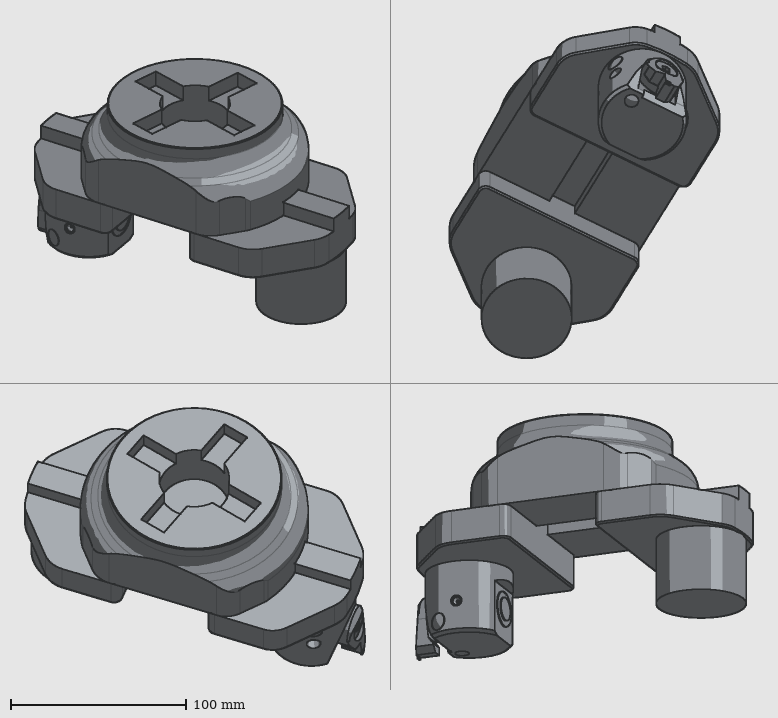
import cadquery as cq
import math


overall_length = 202.21
overall_height = 117.0
half_width = 52.0
corner_radius = 16.0
slide_end_corner_radius = 18.0
corner_angle = 40.0

adapter_radius = 65.0
adapter_corner_distance = 64.15
adapter_height = 50.0
head_radius = 50.0
head_rim_start = 43.2
head_edge_chamfer = 0.6
neck_angle = 55.0
neck_fillet = 12.0
shoulder_fillet = 14.0
bore_radius = 20.0
bore_depth = 28.5
drive_slot_width = 16.0
drive_slot_reach = 41.0
drive_slot_depth = 9.3
drive_slot_count = 4
drive_slot_angle = -15.0

slide_end_radius = 98.5
slide_corner_distance = 86.0
slide_inner_x = 26.4
slide_inner_corner_radius = 5.0
slide_bottom_chamfer = 1.0
key_width = 16.6
key_height = 8.5
keyway_height = 9.0
left_slide_thickness = 20.0
right_slide_thickness = 19.3

weight_radius = 25.75
weight_x = 72.5
weight_y = -2.2
weight_bottom = -57.5

boring_radius = 25.15
boring_x = -72.2
boring_y = 2.1
boring_left_x = boring_x - boring_radius
boring_right_x = boring_x + boring_radius
boring_front_y = boring_y - boring_radius
boring_back_y = boring_y + boring_radius
boring_bottom = -62.6
boring_chamfer = 1.9
spindle_z = -43.75
slant_angle = 15.0
slant_top = -28.8
relief_top = -56.2
relief_angle = 30.0
relief_edge_y = 10.1
dial_flat_x = -51.0
dial_flat_top = -30.6
dial_runout_rise = 2.6
lock_hole_x = -70.05
lock_hole_radius = 3.125
lock_cup_radius = 2.35
lock_socket_radius = 0.75
lock_hole_depth = 1.0
lock_cup_depth = 2.5
lock_socket_depth = 4.0
plug_angle = 67.0
plug_radius = 5.01
plug_bulge = 1.0
plug_sink = 2.5
front_plug_z = -54.4
back_plug_z = -26.9
coolant_hole_radius = 4.0
coolant_hole_z = -39.3
coolant_hole_depth = 6.0
bottom_plug_x = -81.6
bottom_plug_y = 14.3
bottom_plug_radius = 4.0
bottom_plug_bulge = 1.0

holder_radius = 12.0
holder_min_y = boring_y - holder_radius
holder_max_y = boring_y + holder_radius
holder_seat_x = -89.1
holder_rim_x = -98.1
holder_face_top_x = -101.4
holder_face_top_z = -35.4
holder_face_tilt = 3.8
holder_face_radius = 24.0
arm_back_x = -93.9
arm_side_angle = 16.0
arm_edge_y = 4.0
shoulder_bottom = -55.5
shoulder_bottom_y = 9.6
shoulder_top = -49.3
shoulder_top_y = 12.9
arm_bottom = -65.9
arm_toe_y = -1.8
arm_heel_z = -62.0
jaw_back_x = -91.3
jaw_top_z = -57.8
jaw_full_z = -61.3
tip_z = adapter_height - overall_height
tip_x = slide_end_radius - overall_length
tip_top_z = -64.9
tip_length = 1.0
tip_width = 3.0

screw_head_radius = 6.8
screw_face_x = -100.5
countersink_angle = 45.0
screw_head_height = 6.0
screw_shank_radius = 4.0
screw_end_x = -77.0
socket_sides = 6
screw_socket_flats = 4.75
screw_socket_depth = 3.0

dial_radius = 10.25
dial_thickness = 0.6
dial_boss_radius = 6.8
dial_boss_height = 0.7


def sin(degrees):
    return math.sin(math.radians(degrees))


def cos(degrees):
    return math.cos(math.radians(degrees))


def tan(degrees):
    return math.tan(math.radians(degrees))


def oblong_prism(end_radius, corner_distance, end_corner_radius, bottom, top):
    """Prism with flat sides, round ends about the Z axis and four blended corner flats."""
    flat_x = (corner_distance - half_width * sin(corner_angle)) / cos(corner_angle)
    meet_angle = corner_angle - math.degrees(math.acos(corner_distance / end_radius))
    meet_x = end_radius * cos(meet_angle)
    meet_y = end_radius * sin(meet_angle)
    prism = (
        cq.Workplane("XY", origin=(0, 0, bottom))
        .moveTo(-flat_x, -half_width)
        .lineTo(flat_x, -half_width)
        .lineTo(meet_x, -meet_y)
        .threePointArc((end_radius, 0), (meet_x, meet_y))
        .lineTo(flat_x, half_width)
        .lineTo(-flat_x, half_width)
        .lineTo(-meet_x, meet_y)
        .threePointArc((-end_radius, 0), (-meet_x, -meet_y))
        .close()
        .extrude(top - bottom)
    )
    side_edges = prism.faces("<Y or >Y").edges("|Z")
    prism = side_edges.fillet(corner_radius)
    end_edges = prism.faces("<X or >X").edges("|Z")
    return end_edges.fillet(end_corner_radius)


def box(x_min, x_max, y_min, y_max, z_min, z_max):
    size = (x_max - x_min, y_max - y_min, z_max - z_min)
    return cq.Workplane("XY").box(*size, centered=False).translate((x_min, y_min, z_min))


def x_cylinder(radius, x_min, x_max):
    """Cylinder about the spindle axis, which runs along X through the boring head."""
    plane = cq.Workplane("YZ", origin=(x_min, boring_y, spindle_z))
    return plane.circle(radius).extrude(x_max - x_min)


def xz_prism(points, y_min, y_max):
    plane = cq.Workplane("XZ", origin=(0, y_max, 0))
    return plane.polyline(points).close().extrude(y_max - y_min)


def turned_adapter():
    """Turned body: rim, concave neck, conical shoulder and convex shoulder fillet."""
    neck_r = head_radius + neck_fillet * (1 - cos(neck_angle))
    neck_z = head_rim_start - neck_fillet * sin(neck_angle)
    neck_mid_r = head_radius + neck_fillet * (1 - cos(neck_angle / 2))
    neck_mid_z = head_rim_start - neck_fillet * sin(neck_angle / 2)
    cone_r = adapter_radius - shoulder_fillet * (1 - cos(neck_angle))
    cone_z = neck_z - (cone_r - neck_r) / tan(neck_angle)
    side_z = cone_z - shoulder_fillet * sin(neck_angle)
    side_mid_r = adapter_radius - shoulder_fillet * (1 - cos(neck_angle / 2))
    side_mid_z = side_z + shoulder_fillet * sin(neck_angle / 2)
    return (
        cq.Workplane("XZ")
        .lineTo(adapter_radius, 0)
        .lineTo(adapter_radius, side_z)
        .threePointArc((side_mid_r, side_mid_z), (cone_r, cone_z))
        .lineTo(neck_r, neck_z)
        .threePointArc((neck_mid_r, neck_mid_z), (head_radius, head_rim_start))
        .lineTo(head_radius, adapter_height - head_edge_chamfer)
        .lineTo(head_radius - head_edge_chamfer, adapter_height)
        .lineTo(0, adapter_height)
        .close()
        .revolve(360, (0, 0, 0), (0, 1, 0))
    )


def make_adapter():
    outline = oblong_prism(adapter_radius, adapter_corner_distance, corner_radius, 0, adapter_height)
    adapter = turned_adapter().intersect(outline)
    bore = cq.Workplane("XY", origin=(0, 0, adapter_height)).circle(bore_radius).extrude(-bore_depth)
    adapter = adapter.cut(bore)
    half_slot = drive_slot_width / 2
    slot_floor = adapter_height - drive_slot_depth
    drive_slot = box(0, drive_slot_reach, -half_slot, half_slot, slot_floor, adapter_height)
    for index in range(drive_slot_count):
        angle = drive_slot_angle + index * 360 / drive_slot_count
        adapter = adapter.cut(drive_slot.rotate((0, 0, 0), (0, 0, 1), angle))
    half_key = key_width / 2
    keyway = box(-adapter_radius, adapter_radius, -half_key, half_key, 0, keyway_height)
    return adapter.cut(keyway)


def make_slide(side, thickness):
    """Slide plate with its key; side is -1 for the left slide and +1 for the right one."""
    inner_x = side * slide_inner_x
    outer_x = side * slide_end_radius
    x_min = min(inner_x, outer_x)
    x_max = max(inner_x, outer_x)
    outline = oblong_prism(
        slide_end_radius, slide_corner_distance, slide_end_corner_radius, -thickness, key_height
    )
    plate = outline.intersect(box(x_min, x_max, -half_width, half_width, -thickness, 0))
    inner_edges = plate.faces("<X" if side > 0 else ">X").edges("|Z")
    plate = inner_edges.fillet(slide_inner_corner_radius)
    plate = plate.faces("<Z").chamfer(slide_bottom_chamfer)
    half_key = key_width / 2
    key = outline.intersect(box(x_min, x_max, -half_key, half_key, 0, key_height))
    return plate.union(key)


def make_right_slide():
    slide = make_slide(1, right_slide_thickness)
    plane = cq.Workplane("XY", origin=(weight_x, weight_y, weight_bottom))
    weight = plane.circle(weight_radius).extrude(-right_slide_thickness - weight_bottom)
    return slide.union(weight)


def radial_plane(side, z):
    """Workplane on the head's surface facing outward at the plug angle; side is -1 or +1 in Y."""
    direction = (-cos(plug_angle), side * sin(plug_angle), 0)
    origin = (
        boring_x + boring_radius * direction[0],
        boring_y + boring_radius * direction[1],
        z,
    )
    return cq.Workplane(cq.Plane(origin=origin, xDir=(0, 0, 1), normal=direction))


def domed_plug(plane, radius, bulge):
    """Short plug sunk below the plane and ending in a shallow spherical dome above it."""
    sphere_radius = (radius**2 + bulge**2) / (2 * bulge)
    sphere = plane.workplane(offset=bulge - sphere_radius).sphere(sphere_radius)
    blank = plane.workplane(offset=-plug_sink).circle(radius).extrude(plug_sink + bulge)
    return blank.intersect(sphere)


def slanted_cut():
    """Removes the -X side of the head along the slanted face."""
    slant_bottom_x = boring_left_x + (slant_top - boring_bottom) * tan(slant_angle)
    points = [(boring_left_x, slant_top), (slant_bottom_x, boring_bottom), (boring_left_x, boring_bottom)]
    return xz_prism(points, boring_front_y, boring_back_y)


def relief_cut():
    """Steeper relief below the slanted face that clears the insert."""
    relief_x = boring_left_x + (slant_top - relief_top) * tan(slant_angle)
    bottom_x = relief_x + (relief_top - boring_bottom) * tan(relief_angle)
    points = [
        (boring_left_x, relief_top),
        (relief_x, relief_top),
        (bottom_x, boring_bottom),
        (boring_left_x, boring_bottom),
    ]
    return xz_prism(points, boring_front_y, relief_edge_y)


def holder_pocket():
    """Round-topped pocket, open at the bottom, that seats the insert holder."""
    round_top = x_cylinder(holder_radius, boring_left_x, holder_seat_x)
    slot = box(boring_left_x, holder_seat_x, holder_min_y, holder_max_y, boring_bottom, spindle_z)
    return round_top.union(slot)


def dial_flat_cut():
    """Flat on the +X side with a sloping run-out at its top."""
    points = [
        (dial_flat_x, boring_bottom),
        (dial_flat_x, dial_flat_top),
        (boring_right_x, dial_flat_top + dial_runout_rise),
        (boring_right_x, boring_bottom),
    ]
    return xz_prism(points, boring_front_y, boring_back_y)


def lock_hole():
    """Stepped hole from -Y with a conical cup and a small socket."""
    surface = math.sqrt(boring_radius**2 - (lock_hole_x - boring_x) ** 2)
    mouth = 1.0
    profile = [
        (0, -mouth),
        (lock_hole_radius, -mouth),
        (lock_hole_radius, lock_hole_depth),
        (lock_cup_radius, lock_hole_depth),
        (lock_socket_radius, lock_cup_depth),
        (lock_socket_radius, lock_socket_depth),
        (0, lock_socket_depth),
    ]
    cutter = cq.Workplane("XY").polyline(profile).close().revolve(360, (0, 0, 0), (0, 1, 0))
    return cutter.translate((lock_hole_x, boring_y - surface, spindle_z))


def make_boring_head():
    height = -left_slide_thickness - boring_bottom
    plane = cq.Workplane("XY", origin=(boring_x, boring_y, boring_bottom))
    head = plane.circle(boring_radius).extrude(height).faces("<Z").chamfer(boring_chamfer)
    head = head.cut(slanted_cut()).cut(relief_cut()).cut(holder_pocket()).cut(dial_flat_cut())
    head = head.cut(lock_hole())
    coolant_hole = radial_plane(1, coolant_hole_z).circle(coolant_hole_radius)
    head = head.cut(coolant_hole.extrude(-coolant_hole_depth))
    head = head.union(domed_plug(radial_plane(-1, front_plug_z), plug_radius, plug_bulge))
    head = head.union(domed_plug(radial_plane(1, back_plug_z), plug_radius, plug_bulge))
    bottom = cq.Workplane("XY", origin=(bottom_plug_x, bottom_plug_y, boring_bottom))
    bottom_plane = bottom.transformed(rotate=(180, 0, 0))
    head = head.union(domed_plug(bottom_plane, bottom_plug_radius, bottom_plug_bulge))
    return head.cut(x_cylinder(screw_shank_radius, holder_seat_x, screw_end_x))


def holder_disc():
    """Disc seated in the pocket, the upper half of its front rim bevelled at 45 degrees."""
    bevel = holder_rim_x - tip_x
    disc = x_cylinder(holder_radius, tip_x, holder_seat_x)
    disc_bottom = spindle_z - holder_radius
    lower_half = box(tip_x, holder_seat_x, holder_min_y, holder_max_y, disc_bottom, spindle_z)
    return disc.faces("<X").chamfer(bevel).union(disc.intersect(lower_half))


def holder_arm():
    """Tapering arm that hangs from the disc and carries the insert tip."""
    side_y = boring_y - holder_radius * cos(arm_side_angle)
    side_z = spindle_z - holder_radius * sin(arm_side_angle)
    heel_y = side_y + (side_z - arm_heel_z) * tan(arm_side_angle)
    outline = [
        (boring_y, spindle_z),
        (side_y, side_z),
        (heel_y, arm_heel_z),
        (arm_toe_y, arm_bottom),
        (arm_edge_y, arm_bottom),
        (arm_edge_y, spindle_z),
    ]
    arm = cq.Workplane("YZ", origin=(tip_x, 0, 0)).polyline(outline).close()
    arm = arm.extrude(jaw_back_x - tip_x)
    back = [
        (jaw_back_x, spindle_z),
        (arm_back_x, spindle_z),
        (arm_back_x, jaw_top_z),
        (jaw_back_x, jaw_full_z),
    ]
    return arm.cut(xz_prism(back, side_y, arm_edge_y))


def holder_shoulder():
    """Squared shoulder on the +Y side of the arm, under the disc."""
    outline = [
        (arm_edge_y, spindle_z),
        (shoulder_top_y, shoulder_top),
        (shoulder_bottom_y, shoulder_bottom),
        (arm_edge_y, shoulder_bottom),
    ]
    shoulder = cq.Workplane("YZ", origin=(tip_x, 0, 0)).polyline(outline).close()
    return shoulder.extrude(arm_back_x - tip_x)


def holder_face_body():
    """Large tilted cylinder whose -X flank is the curved front face of the holder."""
    axis = cq.Vector(-sin(holder_face_tilt), 0, -cos(holder_face_tilt))
    top = cq.Vector(holder_face_top_x, boring_y, holder_face_top_z)
    centre = top + cq.Vector(cos(holder_face_tilt), 0, -sin(holder_face_tilt)) * holder_face_radius
    reach = holder_face_top_z - tip_z
    start = centre - axis * reach
    face_span = 3 * reach
    plane = cq.Plane(origin=start.toTuple(), xDir=(0, 1, 0), normal=axis.toTuple())
    return cq.Workplane(plane).circle(holder_face_radius).extrude(face_span)


def make_holder():
    holder = holder_disc().union(holder_arm()).union(holder_shoulder())
    holder = holder.intersect(holder_face_body())
    tip_y = arm_edge_y - tip_width
    holder = holder.union(box(tip_x, tip_x + tip_length, tip_y, arm_edge_y, tip_z, tip_top_z))
    seat_x = screw_face_x + screw_head_height
    countersink_depth = screw_face_x - tip_x
    countersink = cq.Workplane("YZ", origin=(screw_face_x, boring_y, spindle_z)).circle(screw_head_radius)
    countersink = countersink.extrude(-countersink_depth, taper=-countersink_angle)
    holder = holder.cut(countersink)
    holder = holder.cut(x_cylinder(screw_head_radius, screw_face_x, seat_x))
    return holder.cut(x_cylinder(screw_shank_radius, seat_x, holder_seat_x))


def make_screw():
    seat_x = screw_face_x + screw_head_height
    screw = x_cylinder(screw_head_radius, screw_face_x, seat_x)
    screw = screw.union(x_cylinder(screw_shank_radius, seat_x, screw_end_x))
    half_side_angle = 180 / socket_sides
    socket_diameter = screw_socket_flats / cos(half_side_angle)
    socket_plane = cq.Workplane("YZ", origin=(screw_face_x, boring_y, spindle_z))
    socket_plane = socket_plane.transformed(rotate=(0, 0, half_side_angle))
    socket = socket_plane.polygon(socket_sides, socket_diameter)
    return screw.cut(socket.extrude(screw_socket_depth))


def make_dial():
    boss_x = dial_flat_x + dial_thickness
    dial = x_cylinder(dial_radius, dial_flat_x, boss_x)
    return dial.union(x_cylinder(dial_boss_radius, boss_x, boss_x + dial_boss_height))


adapter = make_adapter()
left_slide = make_slide(-1, left_slide_thickness)
right_slide = make_right_slide()
boring_head = make_boring_head()
holder = make_holder()
screw = make_screw()
dial = make_dial()

bodies = [adapter, left_slide, right_slide, boring_head, holder, screw, dial]
result = cq.Compound.makeCompound([body.solids().val() for body in bodies])